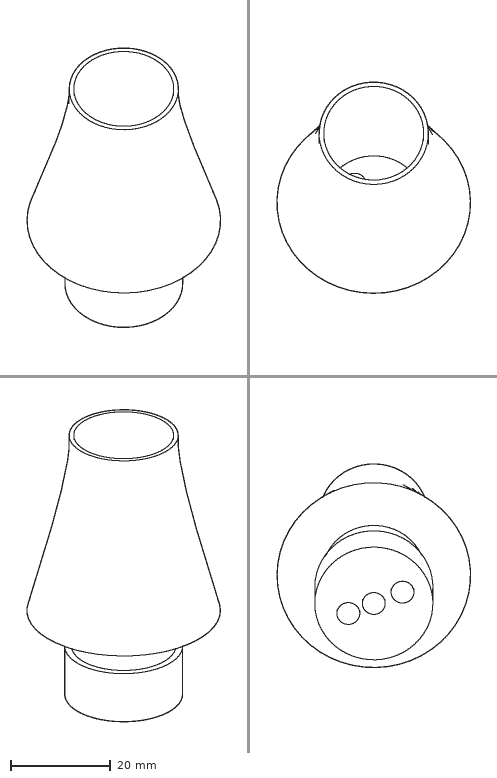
import cadquery as cq

total_height = 59.0
base_diameter = 23.8
base_height = 11.0
neck_diameter = 21.0
skirt_bottom = 19.05
skirt_diameter = 39.0
rim_diameter = 22.0
bore_diameter = 20.1
floor_level = skirt_bottom
hole_diameter = 4.6
hole_positions = (-6.25, 0.0, 5.55)

flare_controls = [(13.05, 42.2), (10.8, 52.75)]


def make_body():
    """Revolve the base, neck and flared shade as one outline."""
    return (
        cq.Workplane("XZ")
        .lineTo(base_diameter / 2, 0)
        .lineTo(base_diameter / 2, base_height)
        .lineTo(neck_diameter / 2, base_height)
        .lineTo(neck_diameter / 2, skirt_bottom)
        .lineTo(skirt_diameter / 2, skirt_bottom)
        .bezier(flare_controls + [(rim_diameter / 2, total_height)], includeCurrent=True)
        .lineTo(0, total_height)
        .close()
        .revolve(360, (0, 0, 0), (0, 1, 0))
    )


def make_bore():
    """Round bore, open at the rim and closed by the floor."""
    depth = total_height - floor_level
    return cq.Workplane("XY").workplane(offset=floor_level).circle(bore_diameter / 2).extrude(depth)


def make_floor_holes():
    """Row of round holes running down through the floor and the base."""
    centers = [(0, y) for y in hole_positions]
    return cq.Workplane("XY").pushPoints(centers).circle(hole_diameter / 2).extrude(floor_level)


result = make_body().cut(make_bore()).cut(make_floor_holes())